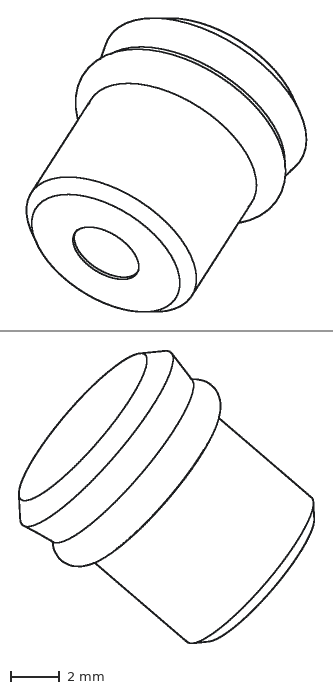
import cadquery as cq

length = 9.78
body_diameter = 7.874
ring_diameter = 9.525
nose_chamfer = 0.508

head_diameter = 9.398
head_base_diameter = 8.83
head_length = 2.16

recess_diameter = 3.05
recess_depth = 0.127

body_radius = body_diameter / 2
ring_radius = ring_diameter / 2
head_radius = head_diameter / 2
head_base_radius = head_base_diameter / 2

ring_section_radius = ring_radius - body_radius
ring_back = length - head_length
ring_middle = ring_back - ring_section_radius
ring_front = ring_middle - ring_section_radius

head_bevel = head_radius - body_radius


def make_turned_body():
    """Revolve the half outline (radius along X, length along Y) about the Y axis."""
    outline = (
        cq.Workplane("XY")
        .moveTo(0, 0)
        .lineTo(body_radius - nose_chamfer, 0)
        .lineTo(body_radius, nose_chamfer)
        .lineTo(body_radius, ring_front)
        .threePointArc((ring_radius, ring_middle), (body_radius, ring_back))
        .lineTo(head_base_radius, ring_back)
        .lineTo(head_radius, length - head_bevel)
        .lineTo(body_radius, length)
        .lineTo(0, length)
        .close()
    )
    return outline.revolve(360, (0, 0, 0), (0, 1, 0))


def make_nose_recess():
    """Disc that sinks the recess into the nose face."""
    return cq.Workplane("XZ").circle(recess_diameter / 2).extrude(-recess_depth)


result = make_turned_body().cut(make_nose_recess())